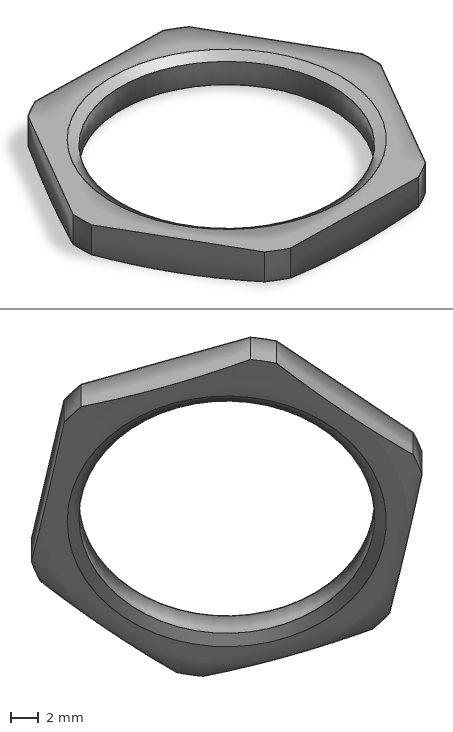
import cadquery as cq
import math

across_flats = 26.0
across_corners = 29.0
thickness = 3.0
bore_diameter = 21.1
bore_chamfer_width = 0.85
bore_chamfer_angle = 30.0
underside_chamfer_angle = 15.0

corner_radius = across_corners / 2
underside_radius = across_flats / 2
underside_chamfer_height = (corner_radius - underside_radius) * math.tan(
    math.radians(underside_chamfer_angle)
)
bore_radius = bore_diameter / 2
bore_mouth_radius = bore_radius + bore_chamfer_width
bore_chamfer_height = bore_chamfer_width * math.tan(math.radians(bore_chamfer_angle))


def hexagon_prism():
    """Full hexagon with flats facing +X and -X and corners on the Y axis."""
    sharp_diameter = across_flats / math.cos(math.radians(30))
    return (
        cq.Workplane("XY")
        .transformed(rotate=(0, 0, 30))
        .polygon(6, sharp_diameter)
        .extrude(thickness)
    )


def turned_envelope():
    """Cylinder that rounds the corners, with a shallow cone at the underside."""
    return (
        cq.Workplane("XZ")
        .moveTo(0, 0)
        .lineTo(underside_radius, 0)
        .lineTo(corner_radius, underside_chamfer_height)
        .lineTo(corner_radius, thickness)
        .lineTo(0, thickness)
        .close()
        .revolve(360, (0, 0, 0), (0, 1, 0))
    )


def chamfered_bore():
    """Through bore with the same shallow chamfer at both faces."""
    return (
        cq.Workplane("XZ")
        .moveTo(0, 0)
        .lineTo(bore_mouth_radius, 0)
        .lineTo(bore_radius, bore_chamfer_height)
        .lineTo(bore_radius, thickness - bore_chamfer_height)
        .lineTo(bore_mouth_radius, thickness)
        .lineTo(0, thickness)
        .close()
        .revolve(360, (0, 0, 0), (0, 1, 0))
    )


result = hexagon_prism().intersect(turned_envelope()).cut(chamfered_bore())